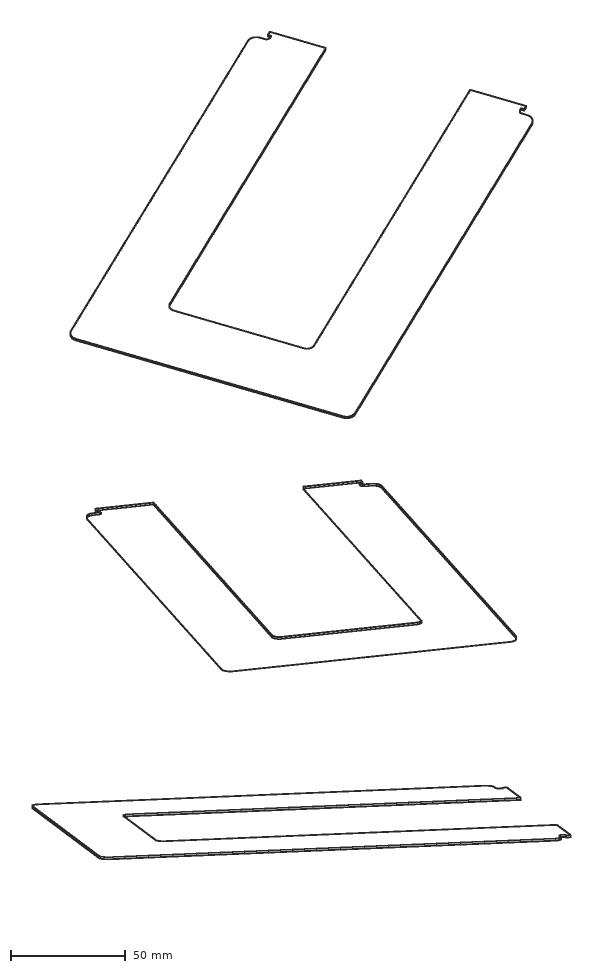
import cadquery as cq

WIDTH = 134.0
LENGTH = 211.5
THICKNESS = 1.0
CORNER_RADIUS = 4.0

BAND_WIDTH = 33.0
SLOT_CORNER_RADIUS = 3.4

TAB_INSET = 6.5
TAB_LENGTH = 5.0
NOTCH_DEPTH = 1.5
TAB_LIP = 2.1
NOTCH_RADIUS = 1.5

SHOULDER_Y = LENGTH / 2 - TAB_LENGTH


def box_between(x_min, x_max, y_min, y_max):
    """Block of plate thickness resting on Z = 0."""
    return (
        cq.Workplane("XY")
        .rect(x_max - x_min, y_max - y_min)
        .extrude(THICKNESS)
        .translate(((x_min + x_max) / 2, (y_min + y_max) / 2, 0))
    )


def make_body():
    """Rounded rectangle reaching up to the arm shoulders."""
    body = box_between(-WIDTH / 2, WIDTH / 2, -LENGTH / 2, SHOULDER_Y)
    return body.edges("|Z").fillet(CORNER_RADIUS)


def make_tabs():
    """Full-width end strip, later divided into two tabs by the slot."""
    half_width = WIDTH / 2 - TAB_INSET
    neck_half_width = half_width - NOTCH_DEPTH
    lip_y = LENGTH / 2 - TAB_LIP
    lip = box_between(-half_width, half_width, lip_y, LENGTH / 2)
    neck = box_between(-neck_half_width, neck_half_width, SHOULDER_Y, lip_y)
    return lip.union(neck)


def make_slot():
    """Cutter for the slot, rounded only at its closed end."""
    half_width = WIDTH / 2 - BAND_WIDTH
    slot = box_between(-half_width, half_width, BAND_WIDTH - LENGTH / 2, LENGTH / 2)
    return slot.edges("|Z and <Y").fillet(SLOT_CORNER_RADIUS)


def round_notch_roots(plate):
    """Round the inner corners where the tab necks meet the shoulders."""
    root_x = WIDTH / 2 - TAB_INSET - NOTCH_DEPTH
    for side in (-1, 1):
        root = (side * root_x, SHOULDER_Y, THICKNESS / 2)
        plate = plate.edges(cq.selectors.NearestToPointSelector(root)).fillet(NOTCH_RADIUS)
    return plate


plate = make_body().union(make_tabs()).cut(make_slot())
result = round_notch_roots(plate)